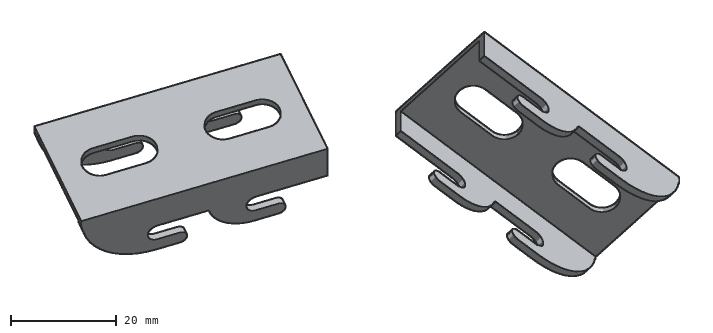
import cadquery as cq
import math

WIDTH = 25.0
LENGTH = 50.0
HEIGHT = 15.0
THICKNESS = 1.5
BEND_HEIGHT = 2.0
FRONT_Y = -LENGTH / 2
REAR_Y = LENGTH / 2

FLANGE_HEIGHT = 8.0
HOOK_PITCH = 20.0
REAR_HOOK_TIP_Y = 16.5
FRONT_HOOK_TIP_Y = REAR_HOOK_TIP_Y - HOOK_PITCH
FINGER_HEIGHT = 3.0
FINGER_TIP_RADIUS = FINGER_HEIGHT / 2
THROAT_DEPTH = 8.0
THROAT_RADIUS = (HEIGHT - FLANGE_HEIGHT - FINGER_HEIGHT) / 2

BACK_CENTRE_OFFSET = 6.5
FRONT_BACK_RADIUS = HEIGHT
REAR_BACK_RADIUS = 9.5

SLOT_WIDTH = 7.0
SLOT_LENGTH = 15.0
SLOT_PITCH = 25.0


def add_hook(outline, tip_y, back_radius, back_end_z):
    """Draw one hook in the Y-Z plane, from the flange's lower edge to the end of its back."""
    throat_centre_y = tip_y - THROAT_DEPTH + THROAT_RADIUS
    finger_top_z = FINGER_HEIGHT - HEIGHT
    finger_end_y = tip_y - FINGER_TIP_RADIUS
    back_y = tip_y - BACK_CENTRE_OFFSET
    back_z = back_radius - HEIGHT

    end_angle = math.asin((back_end_z - back_z) / back_radius)
    middle_angle = (end_angle - math.pi / 2) / 2

    def back_point(angle):
        return (back_y - back_radius * math.cos(angle), back_z + back_radius * math.sin(angle))

    return (
        outline.lineTo(throat_centre_y, -FLANGE_HEIGHT)
        .threePointArc(
            (throat_centre_y - THROAT_RADIUS, -FLANGE_HEIGHT - THROAT_RADIUS),
            (throat_centre_y, finger_top_z),
        )
        .lineTo(finger_end_y, finger_top_z)
        .threePointArc((tip_y, finger_top_z - FINGER_TIP_RADIUS), (finger_end_y, -HEIGHT))
        .lineTo(back_y, -HEIGHT)
        .threePointArc(back_point(middle_angle), back_point(end_angle))
    )


def make_side_wall():
    """Side wall with both hooks, starting at X = 0 and one thickness wide."""
    outline = cq.Workplane("YZ").moveTo(REAR_Y, 0).lineTo(REAR_Y, -FLANGE_HEIGHT)
    outline = add_hook(outline, REAR_HOOK_TIP_Y, REAR_BACK_RADIUS, -FLANGE_HEIGHT)
    outline = add_hook(outline, FRONT_HOOK_TIP_Y, FRONT_BACK_RADIUS, -BEND_HEIGHT)
    outline = outline.lineTo(FRONT_Y, -BEND_HEIGHT).lineTo(FRONT_Y, 0)
    return outline.close().extrude(THICKNESS)


def make_top_plate():
    """Flat plate across the full width, with two lengthwise slots."""
    plate = cq.Workplane("XY").box(WIDTH, LENGTH, THICKNESS, centered=(True, True, False))
    slots = (
        cq.Workplane("XY")
        .pushPoints([(0, -SLOT_PITCH / 2), (0, SLOT_PITCH / 2)])
        .slot2D(SLOT_LENGTH, SLOT_WIDTH, 90)
        .extrude(THICKNESS)
    )
    return plate.cut(slots).translate((0, 0, -THICKNESS))


result = make_top_plate()
for wall_x in (-WIDTH / 2, WIDTH / 2 - THICKNESS):
    result = result.union(make_side_wall().translate((wall_x, 0, 0)))